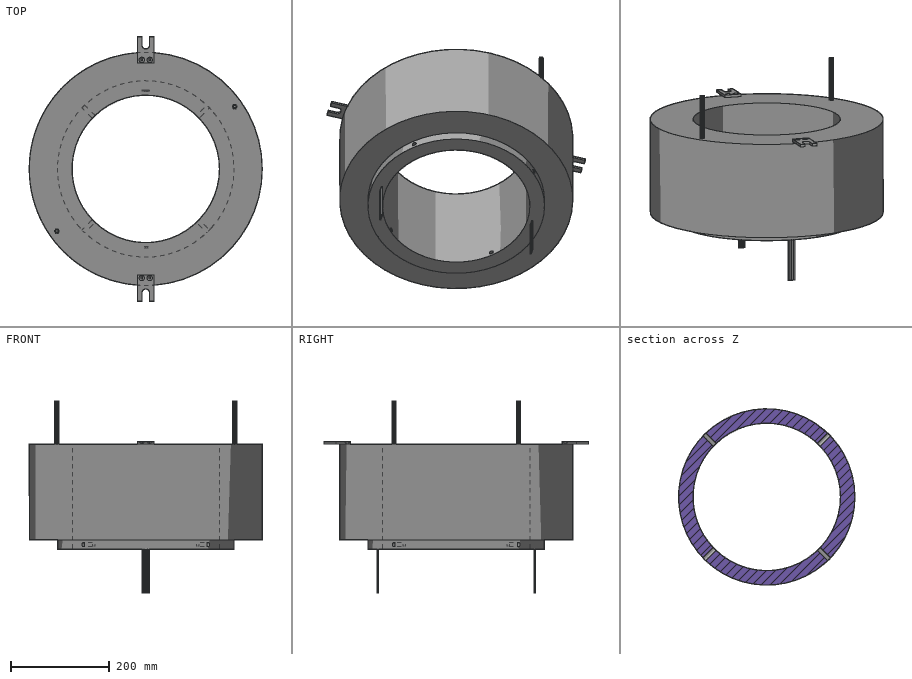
import cadquery as cq
import math

body_diameter = 476.0
bore_diameter = 300.0
body_height = 195.0
overall_height = 391.0

lip_diameter = 360.0
lip_height = 19.5
radial_hole_diameter = 8.0
radial_hole_count = 4
first_radial_hole_angle = 45

overall_length = 540.0
tab_width = 34.5
tab_length = 54.0
tab_thickness = 5.15
slot_width = 15.0
slot_depth = 25.0
screw_spacing = 16.0
screw_edge_distance = 6.5
screw_hole_diameter = 4.0
countersink_diameter = 11.0
countersink_angle = 90

bundle_wire_diameter = 2.45
bundle_wire_count = 6
bundle_radius = 3.65
bundle_distance = 221.5
bundle_angle = 35
bundle_length = 88.0

row_wire_diameter = 3.0
row_wire_count = 4
row_wire_pitch = 4.0
row_offset = 160.0

lip_bottom = -lip_height
row_length = overall_height - body_height - lip_height - bundle_length
overlap = 2.5


def make_ring():
    body = cq.Workplane("XY").circle(body_diameter / 2).extrude(body_height)
    lip = cq.Workplane("XY").circle(lip_diameter / 2).extrude(lip_bottom)
    bore = (
        cq.Workplane("XY", origin=(0, 0, lip_bottom))
        .circle(bore_diameter / 2)
        .extrude(lip_height + body_height)
    )
    return body.union(lip).cut(bore)


def make_radial_hole(angle):
    return (
        cq.Workplane("YZ", origin=(0, 0, lip_bottom / 2))
        .circle(radial_hole_diameter / 2)
        .extrude(lip_diameter)
        .rotate((0, 0, 0), (0, 0, 1), angle)
    )


def make_tab():
    """Tab on the +Y side, with its slot open outward."""
    outer_end = overall_length / 2
    inner_end = outer_end - tab_length
    plate = (
        cq.Workplane("XY", origin=(0, 0, body_height))
        .center(0, (outer_end + inner_end) / 2)
        .rect(tab_width, tab_length)
        .extrude(tab_thickness)
    )
    slot_center = outer_end - slot_depth + slot_width / 2
    slot = (
        cq.Workplane("XY", origin=(0, 0, body_height))
        .moveTo(slot_width / 2, outer_end)
        .lineTo(slot_width / 2, slot_center)
        .threePointArc((0, outer_end - slot_depth), (-slot_width / 2, slot_center))
        .lineTo(-slot_width / 2, outer_end)
        .close()
        .extrude(tab_thickness)
    )
    screw_y = inner_end + screw_edge_distance
    return (
        plate.cut(slot)
        .faces(">Z")
        .workplane(origin=(0, screw_y, 0))
        .pushPoints([(-screw_spacing / 2, 0), (screw_spacing / 2, 0)])
        .cskHole(screw_hole_diameter, countersink_diameter, countersink_angle)
    )


def make_bundle(angle):
    x = bundle_distance * math.cos(math.radians(angle))
    y = bundle_distance * math.sin(math.radians(angle))
    return (
        cq.Workplane("XY", origin=(x, y, body_height - overlap))
        .polarArray(bundle_radius, 0, 360, bundle_wire_count)
        .circle(bundle_wire_diameter / 2)
        .extrude(bundle_length + overlap)
    )


def make_wire_row(y):
    return (
        cq.Workplane("XY", origin=(0, y, lip_bottom + overlap))
        .rarray(row_wire_pitch, 5.5, row_wire_count, 1)
        .circle(row_wire_diameter / 2)
        .extrude(-row_length - overlap)
    )


result = make_ring()
for index in range(radial_hole_count):
    hole_angle = first_radial_hole_angle + index * 360 / radial_hole_count
    result = result.cut(make_radial_hole(hole_angle))
for half_turn in (0, 180):
    result = result.union(make_tab().rotate((0, 0, 0), (0, 0, 1), half_turn))
    result = result.union(make_bundle(bundle_angle + half_turn))
for side in (-1, 1):
    result = result.union(make_wire_row(side * row_offset))